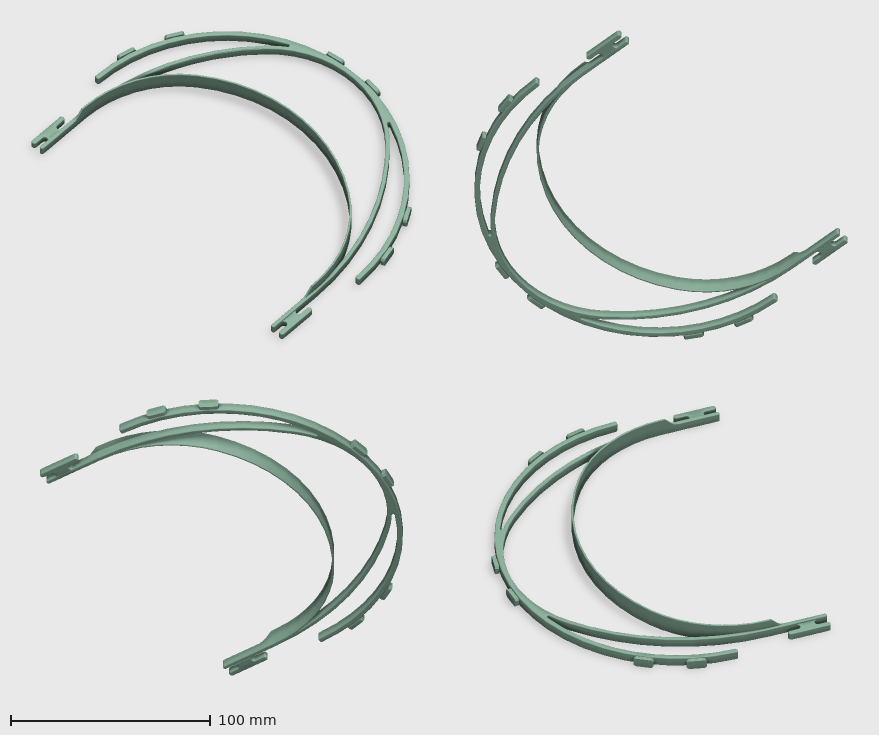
import cadquery as cq
import math

band_height = 5.0
visor_height = 10.0
hook_height = 4.0

edge_rounding = 0.5

halo_outer_radius = 91.5
halo_thickness = 2.8
halo_inner_radius = halo_outer_radius - halo_thickness
halo_center_y = 50.9
halo_end_rounding = 1.0

leg_outer_x = 81.2
leg_thickness = 2.2
leg_end_rounding = 1.02
leg_inner_x = leg_outer_x - leg_thickness
spring_y = 31.5
headband_inner_top_y = halo_center_y + halo_inner_radius
headband_inner_side_radius = 129.0
crotch_radius = 0.7

visor_top_y = 101.5
visor_thickness = 1.0
visor_inner_side_radius = 64.4
visor_slope_start_y = 29.6
visor_toe_radius = 4.6
visor_edge_rounding = 0.4

hook_outer_x = 87.1
hook_bar_width = 2.8
hook_length = 22.4
web_length = 8.0
web_corner_radius = 1.5
hook_end_rounding = 1.3

clip_angles = (8.0, 60.0, 76.4)
clip_outer_radius = 94.0
clip_thickness = 2.0
clip_length = 10.0
clip_chamfer = 1.0
stem_width = 4.5
stem_height = 3.1


def three_arc_area(half_width, top_y, side_radius):
    """Area under a curve that rises vertically at the spring line and closes in a crown arc."""
    side_x = half_width - side_radius
    rise = top_y - spring_y
    crown_radius = (side_x**2 + rise**2 - side_radius**2) / (2 * (rise - side_radius))
    crown_y = top_y - crown_radius
    join_angle = math.atan(abs((crown_y - spring_y) / side_x))
    join_x = crown_radius * math.cos(join_angle)
    join_y = crown_y + crown_radius * math.sin(join_angle)
    middle_x = side_x + side_radius * math.cos(join_angle / 2)
    middle_y = spring_y + side_radius * math.sin(join_angle / 2)
    return (
        cq.Workplane("XY")
        .moveTo(half_width, 0)
        .lineTo(half_width, spring_y)
        .threePointArc((middle_x, middle_y), (join_x, join_y))
        .threePointArc((0, top_y), (-join_x, join_y))
        .threePointArc((-middle_x, middle_y), (-half_width, spring_y))
        .lineTo(-half_width, 0)
        .close()
    )


def make_halo():
    ring = (
        cq.Workplane("XY")
        .center(0, halo_center_y)
        .circle(halo_outer_radius)
        .circle(halo_inner_radius)
        .extrude(band_height)
    )
    upper_half = cq.Workplane("XY").box(
        2 * halo_outer_radius, halo_outer_radius, band_height, centered=(True, False, False)
    )
    half_ring = ring.intersect(upper_half.translate((0, halo_center_y, 0)))
    return half_ring.faces("<Y").edges("|Z").fillet(halo_end_rounding)


def make_headband():
    outer = three_arc_area(
        leg_outer_x,
        headband_inner_top_y + leg_thickness,
        headband_inner_side_radius + leg_thickness,
    ).extrude(band_height)
    inner = three_arc_area(
        leg_inner_x, headband_inner_top_y, headband_inner_side_radius
    ).extrude(band_height)
    return outer.cut(inner).faces("<Y").edges("|Z").fillet(leg_end_rounding)


def round_crotches(body):
    """Round the notches where the halo and the headband part."""
    reach = halo_inner_radius / 2
    zone = cq.selectors.BoxSelector(
        (-reach, halo_center_y + reach, 0), (reach, headband_inner_top_y, band_height)
    )
    return body.edges("|Z").edges(zone).edges(">Y").fillet(crotch_radius)


def make_visor():
    outer = three_arc_area(
        leg_inner_x + visor_thickness, visor_top_y, visor_inner_side_radius + visor_thickness
    ).extrude(visor_height)
    inner = three_arc_area(
        leg_inner_x, visor_top_y - visor_thickness, visor_inner_side_radius
    ).extrude(visor_height)
    slope_foot_y = visor_slope_start_y - (visor_height - band_height)
    tangent_length = visor_toe_radius * math.tan(math.pi / 8)
    toe_end_y = slope_foot_y - tangent_length
    toe_start_offset = tangent_length * math.sin(math.pi / 4)
    toe_middle = (
        toe_end_y + visor_toe_radius * math.sin(math.pi / 8),
        band_height + visor_toe_radius * (1 - math.cos(math.pi / 8)),
    )
    kept_side = (
        cq.Workplane("YZ")
        .moveTo(toe_end_y, 0)
        .lineTo(toe_end_y, band_height)
        .threePointArc(toe_middle, (slope_foot_y + toe_start_offset, band_height + toe_start_offset))
        .lineTo(visor_slope_start_y, visor_height)
        .lineTo(visor_top_y, visor_height)
        .lineTo(visor_top_y, 0)
        .close()
        .extrude(leg_outer_x, both=True)
    )
    visor = outer.cut(inner).intersect(kept_side)
    long_edges = visor.faces("<Z or >Z").edges("not(|X)")
    return long_edges.fillet(visor_edge_rounding)


def make_hook():
    """Hook beside the leg on the +X side."""
    bar_x = hook_outer_x - hook_bar_width
    bar = (
        cq.Workplane("XY")
        .box(hook_bar_width, hook_length, hook_height, centered=False)
        .edges("|Z")
        .fillet(hook_end_rounding)
        .translate((bar_x, 0, 0))
    )
    gap = bar_x - leg_outer_x
    web = cq.Workplane("XY").box(
        gap, web_length + 2 * web_corner_radius, hook_height, centered=(False, True, False)
    )
    slot_side = web_length / 2 + hook_length
    for direction in (-1, 1):
        slot = (
            cq.Workplane("XY")
            .box(gap, hook_length, hook_height, centered=(False, True, False))
            .edges("|Z")
            .fillet(web_corner_radius)
            .translate((0, direction * (slot_side - hook_length / 2), 0))
        )
        web = web.cut(slot)
    hook = bar.union(web.translate((leg_outer_x, hook_length / 2, 0)))
    return hook.faces("|Z").edges("not(<X)").fillet(edge_rounding)


def make_clip(angle):
    """Clip on the +X side, turned by the angle from the +Y direction."""
    plate = (
        cq.Workplane("XY")
        .box(clip_length, clip_thickness, band_height, centered=(True, False, False))
        .edges("|Y")
        .chamfer(clip_chamfer)
        .translate((0, clip_outer_radius - clip_thickness, 0))
    )
    stem_root = halo_outer_radius - halo_thickness / 2
    stem_length = clip_outer_radius - clip_thickness / 2 - stem_root
    stem = cq.Workplane("XY").box(
        stem_width, stem_length, stem_height, centered=(True, False, False)
    )
    clip = plate.union(stem.translate((0, stem_root, (band_height - stem_height) / 2)))
    return clip.rotate((0, 0, 0), (0, 0, 1), -angle).translate((0, halo_center_y, 0))


result = round_crotches(make_halo().union(make_headband()))
result = result.faces("|Z").edges().fillet(edge_rounding)
result = result.union(make_visor())
side_parts = [make_hook()] + [make_clip(angle) for angle in clip_angles]
for side_part in side_parts:
    result = result.union(side_part).union(side_part.mirror("YZ"))